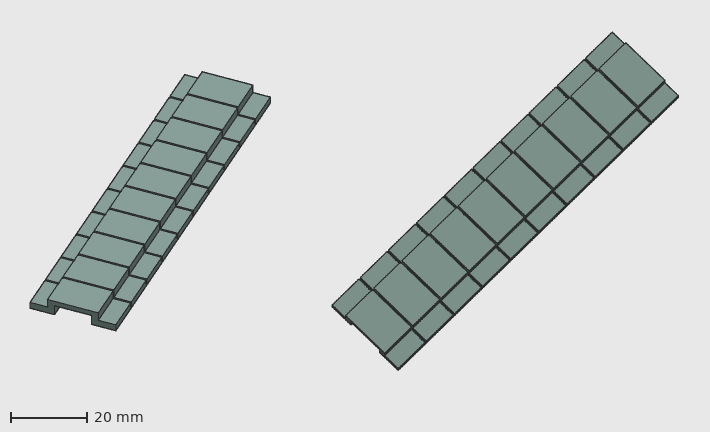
import cadquery as cq

tile_count = 10
tile_length = 10.0
groove_width = 0.5
groove_floor_height = 0.7
tile_pitch = tile_length + groove_width
strip_length = tile_count * tile_pitch - groove_width

overall_width = 24.5
overall_height = 4.5
flange_width = 5.0
flange_height = 2.0
wall_thickness = 2.0
roof_thickness = 1.5
crown_width = overall_width - 2 * flange_width
channel_width = crown_width - 2 * wall_thickness
channel_height = overall_height - roof_thickness


def centered_bar(width, length, bottom, top):
    """Rectangular bar centred on X and Y, spanning the given heights."""
    bar = cq.Workplane("XY").box(width, length, top - bottom, centered=(True, True, False))
    return bar.translate((0, 0, bottom))


def hat_strip():
    """Ungrooved strip: wide flanges, raised crown and a channel open at the bottom."""
    flanges = centered_bar(overall_width, strip_length, 0, flange_height)
    crown = centered_bar(crown_width, strip_length, 0, overall_height)
    channel = centered_bar(channel_width, strip_length, 0, channel_height)
    return flanges.union(crown).cut(channel)


def cut_grooves(strip):
    """Cut a full-width groove between each pair of neighbouring tiles, from the top down to the floor."""
    cutter = centered_bar(overall_width, groove_width, groove_floor_height, overall_height)
    for index in range(1, tile_count):
        groove_y = (index - tile_count / 2) * tile_pitch
        strip = strip.cut(cutter.translate((0, groove_y, 0)))
    return strip


result = cut_grooves(hat_strip())